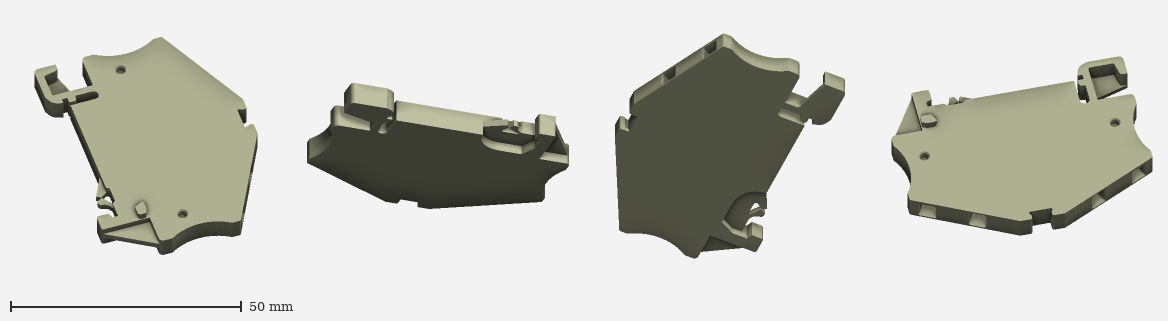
import cadquery as cq
import math


thickness = 4.9
web_bottom = 2.0
web_top = 3.4
ledge_top = 1.0
total_height = 6.75
overlap = 0.55

half_length = 27.0
depth = 40.5
shoulder_y = 10.9
rail_y = 4.55
scallop_low_y = 13.7
scallop_high_y = 27.4
scallop_depth = 2.0
slope_low_y = 29.3
roof_half_width = 4.95
wing_radius = 0.95
slope_radius = 0.55
bend_radius = 0.7
inside_radius = 0.25
foot_radius = 0.45

notch_half_width = 2.2
notch_floor_y = 38.4
notch_radius = 0.5
undercut_width = 0.3
undercut_side_y = 39.0
undercut_top_y = 39.4

arm_left_x = -18.95
arm_right_x = -17.35
slot_right_x = -15.2
slot_radius = (slot_right_x - arm_right_x) / 2
slot_end_y = 11.3
nib_x = -16.0
nib_top_y = 6.3
claw_x = -16.2
claw_top_y = 3.3
claw_bend_start = (-17.95, 0.5)
claw_bend_middle = (-17.1, 1.1)
claw_bend_end = (-16.6, 2.0)
hook_top_y = 5.1
hook_floor_y = 1.7
hook_floor_x = -24.7
hook_tip_x = -25.4
ledge_inner_y = 7.6
ledge_radius = 0.85

foot_left_x = 16.05
foot_wall_x = 17.35
foot_right_x = 19.9
foot_lip_y = 2.75
foot_throat_y = 3.3
gusset_low_y = 0.25
gusset_high_y = shoulder_y + wing_radius

latch_start_x = 4.7
window_left_x = 9.2
window_right_x = 13.45
window_mouth_x = 13.8
window_lip_y = 4.75
window_top_y = 5.25
window_chamfer = 0.4
recess_radius = 5.6
recess_right_x = 15.6
recess_shoulder_y = 6.75
wedge_tip = (9.6, 2.1)
wedge_heel = (10.15, 3.15)
tooth_left = (10.3, 3.25)
tooth_tip_left_x = 10.9
tooth_tip_right_x = 11.6
tooth_tip_y = 1.95
tooth_nose = (12.05, 2.25)
tooth_flank = (12.2, 2.8)
tooth_hollow = (12.7, 3.85)
tooth_root_left_x = 12.75
tooth_root_y = 4.95

dimple_x = 21.15
dimple_y = 17.95
dimple_diameter = 2.0
dimple_floor_diameter = 1.45
dimple_chamfer = 0.25
dimple_depth = 1.35
wire_width = 3.9
wire_depth = 5.4
wire_floor_z = 0.4
upper_wire_y = 36.2
upper_wire_height = 4.15
upper_wire_radius = 0.5
lower_wire_y = 31.1
lower_wire_height = 3.85
lower_wire_radius = 0.6
pin_tip_x = 16.5
pin_tip_y = 10.35
pin_left_x = 17.5
pin_right_x = foot_right_x
pin_end_y = 10.15
pin_crown_left_x = 17.3
pin_crown_right_x = 18.65
pin_low_y = 8.3
pin_high_y = 10.6
pin_chamfer = 0.5
pin_taper = 5


def extrude(outline, bottom, top):
    """Extrude a closed XY outline between two heights."""
    return outline.extrude(top - bottom).translate((0, 0, bottom))


def prism(points, bottom, top):
    """Straight-sided block on the given XY points between two heights."""
    return extrude(cq.Workplane("XY").polyline(points).close(), bottom, top)


def round_upright(body, radius, corners, height):
    """Fillet the upright edges that stand on the given XY corners, centred at the given height."""
    for x, y in corners:
        body = body.edges(cq.NearestToPointSelector((x, y, height))).fillet(radius)
    return body


def mirrored(shape):
    """The shape together with its copy on the other side of X = 0."""
    return shape.union(shape.mirror("YZ"))


def plate():
    scallop_x = half_length - scallop_depth
    scallop_mid_y = (scallop_low_y + scallop_high_y) / 2
    outline = (
        cq.Workplane("XY")
        .moveTo(-half_length, shoulder_y)
        .lineTo(-half_length, scallop_low_y)
        .threePointArc((-scallop_x, scallop_mid_y), (-half_length, scallop_high_y))
        .lineTo(-half_length, slope_low_y)
        .lineTo(-roof_half_width, depth)
        .lineTo(-notch_half_width, depth)
        .lineTo(-notch_half_width, notch_floor_y)
        .lineTo(notch_half_width, notch_floor_y)
        .lineTo(notch_half_width, depth)
        .lineTo(roof_half_width, depth)
        .lineTo(half_length, slope_low_y)
        .lineTo(half_length, scallop_high_y)
        .threePointArc((scallop_x, scallop_mid_y), (half_length, scallop_low_y))
        .lineTo(half_length, shoulder_y)
        .lineTo(foot_right_x, shoulder_y)
        .lineTo(foot_right_x, 0)
        .lineTo(foot_left_x, 0)
        .lineTo(foot_left_x, foot_lip_y)
        .lineTo(foot_wall_x, foot_throat_y)
        .lineTo(foot_wall_x, rail_y)
        .lineTo(slot_right_x, rail_y)
        .lineTo(slot_right_x, slot_end_y - slot_radius)
        .threePointArc((slot_right_x - slot_radius, slot_end_y), (arm_right_x, slot_end_y - slot_radius))
        .lineTo(arm_right_x, nib_top_y)
        .lineTo(nib_x, nib_top_y)
        .lineTo(nib_x, rail_y)
        .lineTo(arm_right_x, rail_y)
        .lineTo(arm_right_x, claw_top_y)
        .lineTo(claw_x, claw_top_y)
        .lineTo(*claw_bend_end)
        .threePointArc(claw_bend_middle, claw_bend_start)
        .lineTo(arm_left_x, 0)
        .lineTo(-half_length, 0)
        .lineTo(-half_length, hook_top_y)
        .lineTo(hook_tip_x, hook_top_y)
        .lineTo(hook_floor_x, hook_floor_y)
        .lineTo(arm_left_x, hook_floor_y)
        .lineTo(arm_left_x, shoulder_y)
        .close()
    )
    body = extrude(outline, 0, thickness)
    rounded = [
        (wing_radius, [(-half_length, shoulder_y), (half_length, shoulder_y), (-half_length, 0)]),
        (slope_radius, [(-half_length, slope_low_y), (half_length, slope_low_y)]),
        (notch_radius, [(-notch_half_width, depth), (notch_half_width, depth)]),
        (bend_radius, [(hook_tip_x, hook_top_y), (nib_x, nib_top_y)]),
        (inside_radius, [(hook_floor_x, hook_floor_y), (arm_left_x, hook_floor_y), (nib_x, rail_y)]),
        (foot_radius, [(foot_left_x, 0), (foot_right_x, 0)]),
    ]
    for radius, corners in rounded:
        body = round_upright(body, radius, corners, thickness / 2)
    return body


def notch_undercut():
    """Pocket that widens the foot of the roof notch, closed at the bottom."""
    outer_x = notch_half_width + undercut_width
    points = [
        (0, notch_floor_y),
        (outer_x, notch_floor_y),
        (outer_x, undercut_side_y),
        (notch_half_width, undercut_top_y),
        (0, undercut_top_y),
    ]
    return mirrored(prism(points, ledge_top, thickness))


def hook_ledge():
    """Thin floor that closes the bottom of the hook, with a fillet against the arm."""
    points = [
        (-half_length, hook_floor_y),
        (arm_left_x + overlap, hook_floor_y - overlap),
        (arm_left_x + overlap, shoulder_y),
        (arm_left_x, shoulder_y),
        (arm_left_x, ledge_inner_y),
        (-half_length, hook_top_y),
    ]
    ledge = prism(points, 0, ledge_top)
    return round_upright(ledge, ledge_radius, [(arm_left_x, ledge_inner_y)], ledge_top / 2)


def latch_window():
    points = [
        (window_left_x, rail_y),
        (window_left_x, window_top_y - window_chamfer),
        (window_left_x + window_chamfer, window_top_y),
        (window_right_x - window_chamfer, window_top_y),
        (window_right_x, window_top_y - window_chamfer),
        (window_right_x, window_lip_y),
        (window_mouth_x, rail_y),
    ]
    return prism(points, 0, thickness)


def latch_recess():
    """Pocket under the latch, open to the rail edge and to the bottom face."""
    arc_end_x = latch_start_x + recess_radius
    recess_top_y = rail_y + recess_radius
    bend = recess_radius * math.sqrt(0.5)
    outline = (
        cq.Workplane("XY")
        .moveTo(latch_start_x, rail_y)
        .threePointArc((arc_end_x - bend, rail_y + bend), (arc_end_x, recess_top_y))
        .lineTo(recess_right_x, recess_top_y)
        .lineTo(foot_wall_x, recess_shoulder_y)
        .lineTo(foot_wall_x, rail_y)
        .close()
    )
    return extrude(outline, 0, web_bottom)


def latch_wedge():
    points = [
        (latch_start_x, rail_y),
        wedge_tip,
        wedge_heel,
        (window_left_x, rail_y),
    ]
    return prism(points, web_bottom, web_top)


def latch_tooth():
    outline = (
        cq.Workplane("XY")
        .moveTo(*tooth_left)
        .lineTo(tooth_tip_left_x, tooth_tip_y)
        .lineTo(tooth_tip_right_x, tooth_tip_y)
        .threePointArc(tooth_nose, tooth_flank)
        .threePointArc(tooth_hollow, (window_mouth_x, rail_y))
        .lineTo(window_mouth_x, tooth_root_y)
        .lineTo(tooth_root_left_x, tooth_root_y)
        .close()
    )
    return extrude(outline, web_bottom, web_top)


def gusset():
    """Triangular web between the foot and the right wing."""
    inner_x = foot_right_x - overlap
    points = [
        (inner_x, gusset_low_y),
        (foot_right_x, gusset_low_y),
        (half_length, gusset_high_y),
        (inner_x, gusset_high_y),
    ]
    return prism(points, web_bottom, web_top)


def dimples():
    """Blind tapered holes with a chamfered rim."""
    rim = dimple_diameter / 2
    profile = [
        (0, thickness),
        (rim + dimple_chamfer, thickness),
        (rim, thickness - dimple_chamfer),
        (dimple_floor_diameter / 2, thickness - dimple_depth),
        (0, thickness - dimple_depth),
    ]
    hole = cq.Workplane("XZ").polyline(profile).close().revolve(360, (0, 0, 0), (0, 1, 0))
    return mirrored(hole.translate((dimple_x, dimple_y, 0)))


def wire_entry(center_y, height, radius, rounded_edges):
    """Box-shaped entry sunk square into each roof slope, with its long edges rounded."""
    run = half_length - roof_half_width
    rise = depth - slope_low_y
    slope = math.degrees(math.atan2(rise, run))
    center_x = -half_length + (center_y - slope_low_y) * run / rise
    entry = (
        cq.Workplane("XY")
        .box(wire_width, 2 * wire_depth, height, centered=(True, True, False))
        .edges(rounded_edges)
        .fillet(radius)
        .rotate((0, 0, 0), (0, 0, 1), slope)
        .translate((center_x, center_y, wire_floor_z))
    )
    return mirrored(entry)


def locating_pin():
    """Pin beside the gusset, narrowing from its top down to the plate."""
    points = [
        (pin_tip_x, pin_tip_y),
        (pin_left_x, pin_low_y),
        (pin_right_x - pin_chamfer, pin_low_y),
        (pin_right_x, pin_low_y + pin_chamfer),
        (pin_right_x, pin_end_y),
        (pin_crown_right_x, pin_high_y),
        (pin_crown_left_x, pin_high_y),
    ]
    pin = cq.Workplane("XY", origin=(0, 0, total_height)).polyline(points).close()
    return pin.extrude(thickness - total_height, taper=pin_taper)


result = (
    plate()
    .union(hook_ledge())
    .cut(notch_undercut())
    .cut(latch_window())
    .cut(latch_recess())
    .union(latch_wedge())
    .union(latch_tooth())
    .union(gusset())
    .cut(dimples())
    .cut(wire_entry(upper_wire_y, upper_wire_height, upper_wire_radius, "|Y"))
    .cut(wire_entry(lower_wire_y, lower_wire_height, lower_wire_radius, "|Y and >Z"))
    .union(locating_pin())
)